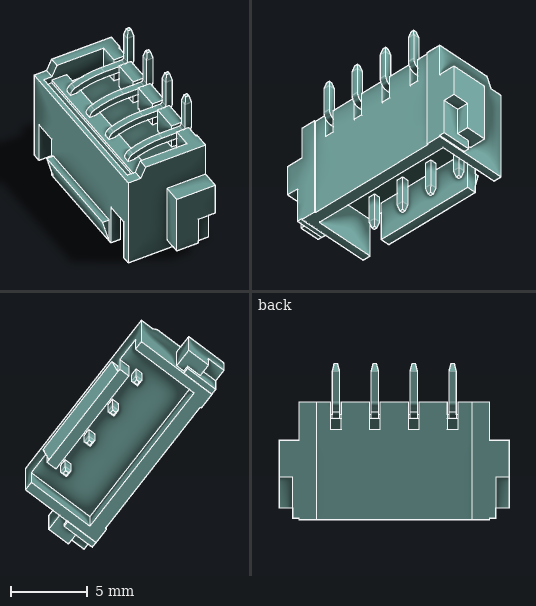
import cadquery as cq
import math


housing_width = 12.42
housing_depth = 5.79
housing_height = 7.68
front_wall_height = 6.87
slope_top_y = -4.48
slope_bottom_y = -4.86
rear_recess_width = 10.14
rear_recess_depth = 0.09

tray_width = 10.98
rear_wall = 0.99
floor_z = 5.88
platform_z = 6.58
platform_rear_y = -3.75
groove_z = 6.36
groove_rear_y = -4.88
groove_front_y = -5.46

cavity_width = 11.16
cavity_height = 3.08
cavity_front_wall = 0.74
cavity_front_y = cavity_front_wall - housing_depth
front_slot_inner_x = 3.9

latch_width = 7.38
latch_height = 1.82
latch_depth = 0.5

overall_width = 15.0
wing_depth = 2.9
wing_bottom = 0.76
wing_top = 5.19
tab_span = 13.23
tab_bottom = 0.09
tab_top = 2.8
tab_upper_depth = 1.28
tab_lower_depth = 2.31

pin_count = 4
pin_pitch = 2.54
pin_size = 0.5
pin_slot_width = 0.68
pin_rear_y = 0.18
pin_top = 10.18
pin_bottom = 0.5
tip_length = 0.51
tip_size = 0.24
arm_top = 7.52
arch_start_y = -2.02
arch_angle = math.radians(22.3)
bend_inner_radius_rear = 0.16
bend_inner_radius_front = 0.06
arch_outer_radius = 5.8

rear_bend_radius = bend_inner_radius_rear + pin_size / 2
front_bend_radius = bend_inner_radius_front + pin_size / 2
arch_radius = arch_outer_radius - pin_size / 2


def block(x_min, x_max, y_min, y_max, z_min, z_max):
    """Axis-aligned box given by its limits."""
    size = (x_max - x_min, y_max - y_min, z_max - z_min)
    return cq.Workplane("XY").box(*size, centered=False).translate((x_min, y_min, z_min))


def centered_block(width, y_min, y_max, z_min, z_max):
    """Axis-aligned box that is symmetric about X = 0."""
    return block(-width / 2, width / 2, y_min, y_max, z_min, z_max)


def side_profile(points, width):
    """Extrude a (Y, Z) outline symmetrically about X = 0."""
    return cq.Workplane("YZ").polyline(points).close().extrude(width / 2, both=True)


def make_shell():
    """Solid housing with its lowered front edge and shallow rear recess."""
    outline = [
        (0, 0),
        (0, housing_height),
        (slope_top_y, housing_height),
        (slope_bottom_y, front_wall_height),
        (-housing_depth, front_wall_height),
        (-housing_depth, 0),
    ]
    recess = centered_block(rear_recess_width, -rear_recess_depth, 0, 0, housing_height)
    return side_profile(outline, housing_width).cut(recess)


def make_tray():
    """Space cut out of the top: floor, raised platform and narrow groove."""
    outline = [
        (-rear_wall, housing_height),
        (-rear_wall, floor_z),
        (platform_rear_y, floor_z),
        (platform_rear_y, platform_z),
        (groove_rear_y, platform_z),
        (groove_rear_y, groove_z),
        (groove_front_y, groove_z),
        (groove_front_y, housing_height),
    ]
    return side_profile(outline, tray_width)


def make_mating_cavity():
    """Underside cavity together with its two front slots."""
    cavity = centered_block(cavity_width, cavity_front_y, -rear_wall, 0, cavity_height)
    for side in (-1, 1):
        slot_x = sorted((side * front_slot_inner_x, side * cavity_width / 2))
        cavity = cavity.union(block(*slot_x, -housing_depth, cavity_front_y, 0, cavity_height))
    return cavity


def make_latch():
    """Wedge tapering to nothing at the underside, rooted in the front wall."""
    outline = [
        (cavity_front_y, 0),
        (-housing_depth, 0),
        (-housing_depth - latch_depth, latch_height),
        (cavity_front_y, latch_height),
    ]
    return side_profile(outline, latch_width)


def make_side_mount(side):
    """Wing and L-shaped solder tab on one side (-1 or 1) of the housing."""
    wall_x = side * cavity_width / 2
    wing_x = sorted((wall_x, side * overall_width / 2))
    tab_x = sorted((wall_x, side * tab_span / 2))
    wing = block(*wing_x, -wing_depth, 0, wing_bottom, wing_top)
    notch = block(*wing_x, -tab_upper_depth, 0, wing_bottom, tab_top)
    upper_tab = block(*tab_x, -tab_upper_depth, 0, tab_bottom, tab_top)
    lower_tab = block(*tab_x, -tab_lower_depth, 0, tab_bottom, wing_bottom)
    return wing.cut(notch).union(upper_tab).union(lower_tab)


def make_tip(y, z, direction):
    """Tapered pin end starting at height z and pointing up (1) or down (-1)."""
    taper = math.degrees(math.atan((pin_size - tip_size) / 2 / tip_length))
    tip = cq.Workplane("XY").rect(pin_size, pin_size).extrude(tip_length, taper=taper)
    if direction < 0:
        tip = tip.mirror("XY")
    return tip.translate((0, y, z))


def make_contact():
    """Pin rising at the rear, arching forward and dropping into the cavity."""
    post_y = pin_rear_y - pin_size / 2
    post_top = pin_top - tip_length
    arm_z = arm_top - pin_size / 2
    rear_bend_end_y = post_y - rear_bend_radius
    arch_end_y = arch_start_y - arch_radius * math.sin(arch_angle)
    arch_end_z = arm_z - arch_radius * (1 - math.cos(arch_angle))
    mating_y = arch_end_y - front_bend_radius * (1 - math.sin(arch_angle))
    front_bend_end_z = arch_end_z - front_bend_radius * math.cos(arch_angle)
    mating_bottom = pin_bottom + tip_length

    path = (
        cq.Workplane("YZ")
        .moveTo(post_y, post_top)
        .lineTo(post_y, arm_z + rear_bend_radius)
        .tangentArcPoint((rear_bend_end_y, arm_z), relative=False)
        .lineTo(arch_start_y, arm_z)
        .tangentArcPoint((arch_end_y, arch_end_z), relative=False)
        .tangentArcPoint((mating_y, front_bend_end_z), relative=False)
        .lineTo(mating_y, mating_bottom)
    )
    section = cq.Workplane("XY", origin=(0, post_y, post_top)).rect(pin_size, pin_size)
    contact = section.sweep(path)
    contact = contact.union(make_tip(post_y, post_top, 1))
    return contact.union(make_tip(mating_y, mating_bottom, -1))


result = make_shell().cut(make_tray()).cut(make_mating_cavity()).union(make_latch())

for side in (-1, 1):
    result = result.union(make_side_mount(side))

contact = make_contact()
for index in range(pin_count):
    pin_x = (index - (pin_count - 1) / 2) * pin_pitch
    slot_x = (pin_x - pin_slot_width / 2, pin_x + pin_slot_width / 2)
    result = result.cut(block(*slot_x, -rear_wall, 0, floor_z, housing_height))
    result = result.union(contact.translate((pin_x, 0, 0)))